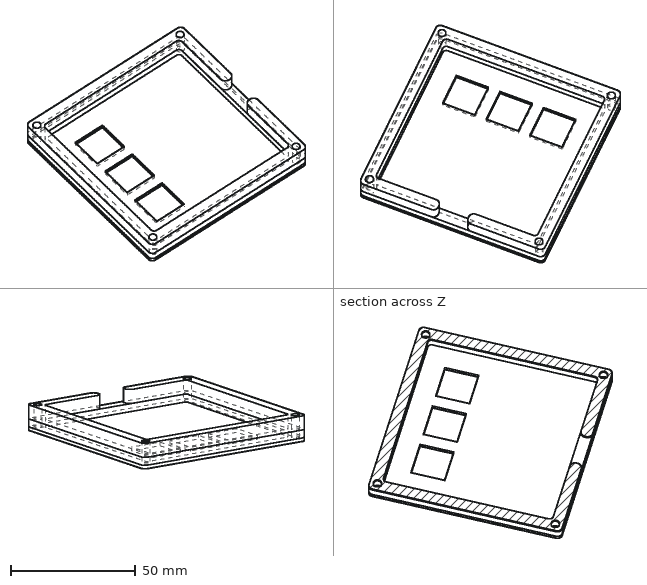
import cadquery as cq

case_side = 80.5
case_height = 10.6
corner_radius = 2.0

plate_thickness = 1.5
spacer_thickness = 3.3
rim_thickness = case_height - plate_thickness - spacer_thickness

wall = 5.0
cavity_side = case_side - 2 * wall
cavity_corner_radius = 1.5

screw_hole_diameter = 3.2
screw_hole_spacing = 74.0

switch_window_side = 14.0
switch_pitch = 19.05
switch_count = 3
switch_row_y = -switch_pitch

cable_gap_width = 13.0
cable_gap_end_radius = 2.25


def case_slab(bottom_z, thickness):
    """Square layer with rounded vertical corners."""
    slab = cq.Workplane("XY", origin=(0, 0, bottom_z)).rect(case_side, case_side).extrude(thickness)
    return slab.edges("|Z").fillet(corner_radius)


def case_frame(bottom_z, thickness):
    """Layer with an open cavity and a screw hole through each corner."""
    layer_base = cq.Workplane("XY", origin=(0, 0, bottom_z))
    cavity = layer_base.rect(cavity_side, cavity_side).extrude(thickness)
    cavity = cavity.edges("|Z").fillet(cavity_corner_radius)
    screw_holes = (
        layer_base.rect(screw_hole_spacing, screw_hole_spacing, forConstruction=True)
        .vertices()
        .circle(screw_hole_diameter / 2)
        .extrude(thickness)
    )
    return case_slab(bottom_z, thickness).cut(cavity).cut(screw_holes)


def make_switch_plate():
    """Bottom plate with a row of square switch windows."""
    windows = (
        cq.Workplane("XY")
        .center(0, switch_row_y)
        .rarray(switch_pitch, 1, switch_count, 1)
        .rect(switch_window_side, switch_window_side)
        .extrude(plate_thickness)
    )
    return case_slab(0, plate_thickness).cut(windows)


def make_spacer():
    """Closed frame between the plate and the rim."""
    return case_frame(plate_thickness, spacer_thickness)


def make_rim():
    """Top frame, split in the +Y wall by a cable gap with rounded wall ends."""
    bottom_z = plate_thickness + spacer_thickness
    wall_center_y = (case_side - wall) / 2
    gap = (
        cq.Workplane("XY", origin=(0, wall_center_y, bottom_z))
        .rect(cable_gap_width, wall)
        .extrude(rim_thickness)
    )
    rim = case_frame(bottom_z, rim_thickness).cut(gap)
    half_gap = cable_gap_width / 2
    wall_ends = cq.selectors.BoxSelector(
        (-half_gap - wall / 2, wall_center_y - wall, bottom_z),
        (half_gap + wall / 2, wall_center_y + wall, case_height),
    )
    return rim.edges("|Z").edges(wall_ends).fillet(cable_gap_end_radius)


switch_plate = make_switch_plate()
spacer = make_spacer()
rim = make_rim()

result = cq.Compound.makeCompound([switch_plate.val(), spacer.val(), rim.val()])